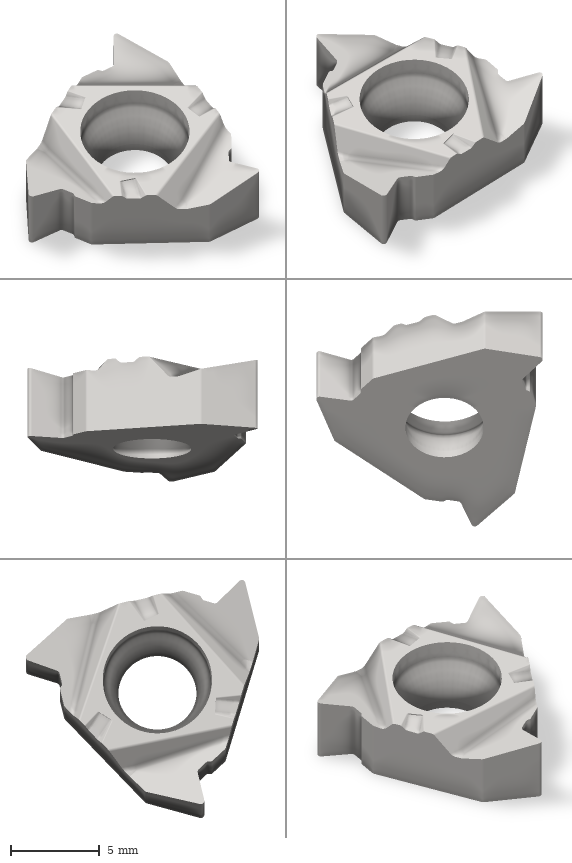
import cadquery as cq
import math

THICKNESS = 4.11
LOBE_ANGLES = (0, 120, 240)
REACH = 13.06
TOLERANCE = 0.01

FACE_X = -4.77
FLANK_START_Y = -4.07
TOOTH_APEX = (-2.96, -7.08)
NOTCH_ROOT_X = -1.87
NOTCH_Y = -5.24
STEP_START_X = -1.1
STEP_END_X = -0.91
SHOULDER_Y = -5.42
TOOTH_TIP_RADIUS = 0.2
NOTCH_ROOT_RADIUS = 0.22
STEP_ROOT_RADIUS = 0.2
STEP_NOSE_RADIUS = 0.08
FACE_CORNER_RADIUS = 0.26

TOOTH_TIP_Z = 3.96
TOOTH_TIP_Y = -6.9
RAMP_ANGLE = 15.1
CHANNEL_FLOOR_Z = 2.85
WALL_TOP_Y = -1.07
WALL_TURN = 32.0
WALL_SLOPE = 52.0
WALL_TOP_RADIUS = 0.18
WALL_FOOT_RADIUS = 0.33

BREAKER_Y = 0.22
BREAKER_TURN = 13.0
BREAKER_LENGTH = 1.24
BREAKER_FLOOR_WIDTH = 0.63
BREAKER_DEPTH = 0.26
BREAKER_END_DEPTH = 0.08
BREAKER_SIDE_SLOPE = 41.0
BREAKER_CORNER_RADIUS = 0.16
BREAKER_RIM_RADIUS = 0.09

BORE_DIAMETER = 4.4
BORE_TOP_Z = 0.52
SEAT_DIAMETER = 5.85
SEAT_TOP_Z = 2.81
COUNTERBORE_FLOOR_DIAMETER = 6.03
COUNTERBORE_FLOOR_Z = 3.07
COUNTERBORE_DIAMETER = 6.15


def rotated(point, degrees):
    """Turn an XY point about the part axis."""
    c = math.cos(math.radians(degrees))
    s = math.sin(math.radians(degrees))
    return (point[0] * c - point[1] * s, point[0] * s + point[1] * c)


def make_blank():
    """Extruded outline with its vertical corners rounded."""
    normal_x, normal_y = rotated((-1, 0), 120)
    shoulder_end_x = (-FACE_X - SHOULDER_Y * normal_y) / normal_x
    corners = [
        ((FACE_X, FLANK_START_Y), FACE_CORNER_RADIUS),
        (TOOTH_APEX, TOOTH_TIP_RADIUS),
        ((NOTCH_ROOT_X, NOTCH_Y), NOTCH_ROOT_RADIUS),
        ((STEP_START_X, NOTCH_Y), STEP_ROOT_RADIUS),
        ((STEP_END_X, SHOULDER_Y), STEP_NOSE_RADIUS),
        ((shoulder_end_x, SHOULDER_Y), FACE_CORNER_RADIUS),
    ]
    outline = [rotated(point, angle) for angle in LOBE_ANGLES for point, _ in corners]
    blank = cq.Workplane("XY").polyline(outline).close().extrude(THICKNESS)
    for point, radius in corners:
        for angle in LOBE_ANGLES:
            x, y = rotated(point, angle)
            near_corner = cq.selectors.NearestToPointSelector((x, y, THICKNESS / 2))
            blank = blank.edges("|Z").edges(near_corner).fillet(radius)
    return blank


def make_tooth_cutter():
    """Space above one tooth: over the ramp and floor, and in front of the wall."""
    ramp_fall = math.tan(math.radians(RAMP_ANGLE))
    ramp_foot_y = TOOTH_TIP_Y + (TOOTH_TIP_Z - CHANNEL_FLOOR_Z) / ramp_fall
    ramp_end_y = -REACH
    ramp_end_z = CHANNEL_FLOOR_Z + (ramp_foot_y - ramp_end_y) * ramp_fall
    above_tooth = (
        cq.Workplane("YZ")
        .polyline([
            (ramp_end_y, ramp_end_z),
            (ramp_foot_y, CHANNEL_FLOOR_Z),
            (REACH, CHANNEL_FLOOR_Z),
            (REACH, REACH),
            (ramp_end_y, REACH),
        ])
        .close()
        .extrude(REACH, both=True)
    )

    slope = math.radians(WALL_SLOPE)
    turn = math.radians(WALL_TURN)
    tangent = WALL_TOP_RADIUS * math.tan(slope / 2)
    arc_centre_y = THICKNESS - WALL_TOP_RADIUS
    arc_middle = (
        WALL_TOP_RADIUS * math.sin(slope / 2) - tangent,
        arc_centre_y + WALL_TOP_RADIUS * math.cos(slope / 2),
    )
    arc_end = (tangent * math.cos(slope), THICKNESS - tangent * math.sin(slope))
    wall_section = cq.Plane(
        origin=(FACE_X, WALL_TOP_Y, 0),
        xDir=(-math.sin(turn), -math.cos(turn), 0),
        normal=(-math.cos(turn), math.sin(turn), 0),
    )
    before_wall = (
        cq.Workplane(wall_section)
        .moveTo(-tangent, THICKNESS)
        .threePointArc(arc_middle, arc_end)
        .lineTo(THICKNESS / math.tan(slope), 0)
        .lineTo(REACH, 0)
        .lineTo(REACH, REACH)
        .lineTo(-tangent, REACH)
        .close()
        .extrude(REACH, both=True)
    )
    cutter = above_tooth.intersect(before_wall)

    foot_distance = (THICKNESS - CHANNEL_FLOOR_Z) / math.tan(slope)
    foot_y = WALL_TOP_Y - foot_distance / math.cos(turn)
    foot_corner_x = FACE_X + (foot_y - ramp_foot_y) / math.tan(turn)
    corner = cq.Vector(foot_corner_x, ramp_foot_y, CHANNEL_FLOOR_Z)
    feet = [
        edge
        for edge in cutter.edges().vals()
        if any((vertex.Center() - corner).Length < TOLERANCE for vertex in edge.Vertices())
        and abs(edge.tangentAt(0).y) > TOLERANCE
    ]
    return cutter.newObject(feet).fillet(WALL_FOOT_RADIUS)


def make_breaker_cutter():
    """Round-cornered groove whose floor rises inward from the side face."""
    half_floor = BREAKER_FLOOR_WIDTH / 2
    slope = math.radians(BREAKER_SIDE_SLOPE)
    arc_middle_run = BREAKER_CORNER_RADIUS * math.sin(slope / 2)
    arc_middle_rise = BREAKER_CORNER_RADIUS * (1 - math.cos(slope / 2))
    arc_end_run = BREAKER_CORNER_RADIUS * math.sin(slope)
    arc_end_rise = BREAKER_CORNER_RADIUS * (1 - math.cos(slope))
    side_height = 2 * BREAKER_DEPTH
    side_run = arc_end_run + (side_height - arc_end_rise) / math.tan(slope)
    section = (
        cq.Workplane("YZ")
        .moveTo(-half_floor, 0)
        .lineTo(half_floor, 0)
        .threePointArc(
            (half_floor + arc_middle_run, arc_middle_rise),
            (half_floor + arc_end_run, arc_end_rise),
        )
        .lineTo(half_floor + side_run, side_height)
        .lineTo(-half_floor - side_run, side_height)
        .lineTo(-half_floor - arc_end_run, arc_end_rise)
        .threePointArc((-half_floor - arc_middle_run, arc_middle_rise), (-half_floor, 0))
        .close()
    )
    outside = BREAKER_LENGTH / 4
    climb = (BREAKER_DEPTH - BREAKER_END_DEPTH) / BREAKER_LENGTH
    length = outside + BREAKER_LENGTH
    groove = cq.Solid.extrudeLinear(section.val(), [], cq.Vector(length, 0, length * climb))
    return (
        cq.Workplane(groove)
        .translate((-outside, 0, THICKNESS - BREAKER_DEPTH - outside * climb))
        .rotate((0, 0, 0), (0, 0, 1), BREAKER_TURN)
        .translate((FACE_X, BREAKER_Y, 0))
    )


def make_screw_hole():
    """Revolved tool for the bore, seat and counterbore."""
    return (
        cq.Workplane("XZ")
        .lineTo(BORE_DIAMETER / 2, 0)
        .lineTo(BORE_DIAMETER / 2, BORE_TOP_Z)
        .tangentArcPoint((SEAT_DIAMETER / 2, SEAT_TOP_Z), relative=False)
        .tangentArcPoint((COUNTERBORE_FLOOR_DIAMETER / 2, COUNTERBORE_FLOOR_Z), relative=False)
        .lineTo(COUNTERBORE_DIAMETER / 2, THICKNESS)
        .lineTo(0, THICKNESS)
        .close()
        .revolve(360, (0, 0, 0), (0, 1, 0))
    )


def add_breakers(body):
    """Cut the three breaker grooves and round the rims of their sides."""
    groove = make_breaker_cutter()
    for angle in LOBE_ANGLES:
        body = body.cut(groove.rotate((0, 0, 0), (0, 0, 1), angle))
        for side in (-1, 1):
            along, across = rotated((BREAKER_LENGTH / 2, side * BREAKER_FLOOR_WIDTH), BREAKER_TURN)
            x, y = rotated((FACE_X + along, BREAKER_Y + across), angle)
            near_rim = cq.selectors.NearestToPointSelector((x, y, THICKNESS))
            body = body.faces(">Z").edges(near_rim).fillet(BREAKER_RIM_RADIUS)
    return body


result = add_breakers(make_blank())
result = result.cut(make_screw_hole())
tooth_cutter = make_tooth_cutter()
for lobe_angle in LOBE_ANGLES:
    result = result.cut(tooth_cutter.rotate((0, 0, 0), (0, 0, 1), lobe_angle))